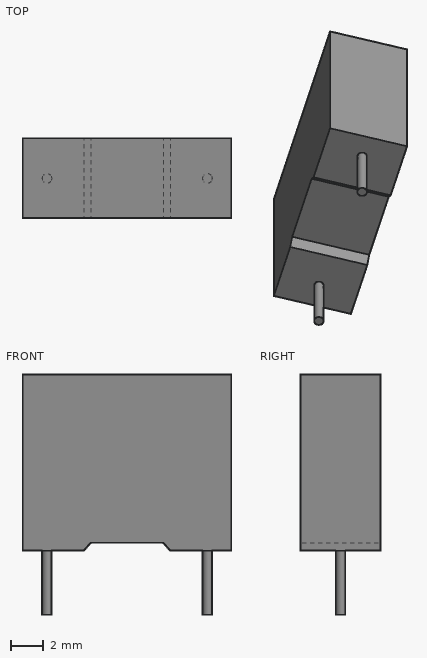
import cadquery as cq

total_height = 15.0
body_length = 13.0
body_depth = 5.0
body_height = 11.0

relief_height = 0.5
relief_mouth_width = 5.4
relief_roof_width = 4.5

pin_diameter = 0.6
pin_pitch = 10.0
pin_length = total_height - body_height
pin_embed = 0.15


def make_body():
    """Plain box with a trapezoidal relief across its underside."""
    box = cq.Workplane("XY").box(body_length, body_depth, body_height, centered=(True, True, False))
    relief = (
        cq.Workplane("XZ")
        .polyline([
            (-relief_mouth_width / 2, 0),
            (-relief_roof_width / 2, relief_height),
            (relief_roof_width / 2, relief_height),
            (relief_mouth_width / 2, 0),
        ])
        .close()
        .extrude(body_depth / 2, both=True)
    )
    return box.cut(relief)


def make_pins():
    """Two straight pins hanging from the underside, one at each end."""
    return (
        cq.Workplane("XY")
        .workplane(offset=-pin_length)
        .pushPoints([(-pin_pitch / 2, 0), (pin_pitch / 2, 0)])
        .circle(pin_diameter / 2)
        .extrude(pin_length + pin_embed)
    )


result = make_body().union(make_pins())